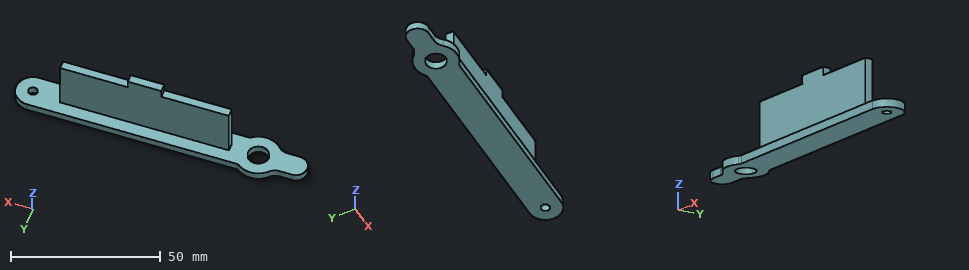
import cadquery as cq
import math

overall_length = 103.4
thickness = 3.0

ring_radius = 7.9
ring_hole_diameter = 7.2
nose_radius = 4.0
nose_reach = 17.4
bar_radius = 6.0
pin_hole_diameter = 3.1
nose_blend_radius = 4.7
bar_blend_radius = 2.0
nose_center_x = nose_radius - nose_reach
bar_end_x = overall_length - nose_reach - bar_radius

wall_start_x = 9.9
wall_length = 60.0
wall_height = 18.5
tab_length = 12.0
tab_offset = (wall_length - tab_length) / 2


def blend_points(half_width, radius):
    """Distances from the ring centre for a blend between the ring and a straight side.

    Returns the start on the straight side, the arc's midpoint and the end on the ring.
    """
    center_y = half_width + radius
    center_distance = ring_radius + radius
    center_x = math.sqrt(center_distance**2 - center_y**2)
    on_side = (center_x, half_width)
    on_ring = (
        center_x * ring_radius / center_distance,
        center_y * ring_radius / center_distance,
    )
    ring_direction = math.atan2(-center_y, -center_x)
    middle_angle = (ring_direction - math.pi / 2) / 2
    middle = (
        center_x + radius * math.cos(middle_angle),
        center_y + radius * math.sin(middle_angle),
    )
    return on_side, middle, on_ring


def mirror_x(point):
    return (-point[0], point[1])


def mirror_y(point):
    return (point[0], -point[1])


def make_plate():
    nose_side, nose_middle, nose_ring = map(mirror_x, blend_points(nose_radius, nose_blend_radius))
    bar_side, bar_middle, bar_ring = blend_points(bar_radius, bar_blend_radius)
    outline = (
        cq.Workplane("XY")
        .moveTo(nose_center_x, nose_radius)
        .lineTo(*nose_side)
        .threePointArc(nose_middle, nose_ring)
        .threePointArc((0, ring_radius), bar_ring)
        .threePointArc(bar_middle, bar_side)
        .lineTo(bar_end_x, bar_radius)
        .threePointArc((bar_end_x + bar_radius, 0), (bar_end_x, -bar_radius))
        .lineTo(*mirror_y(bar_side))
        .threePointArc(mirror_y(bar_middle), mirror_y(bar_ring))
        .threePointArc((0, -ring_radius), mirror_y(nose_ring))
        .threePointArc(mirror_y(nose_middle), mirror_y(nose_side))
        .lineTo(nose_center_x, -nose_radius)
        .threePointArc((-nose_reach, 0), (nose_center_x, nose_radius))
        .close()
    )
    ring_hole = cq.Workplane("XY").circle(ring_hole_diameter / 2).extrude(thickness)
    pin_hole = cq.Workplane("XY").center(bar_end_x, 0).circle(pin_hole_diameter / 2).extrude(thickness)
    return outline.extrude(thickness).cut(ring_hole).cut(pin_hole)


def make_upright(start_x, length, height):
    """Block centred on the plate's long axis, rising from its underside."""
    return (
        cq.Workplane("XY")
        .box(length, thickness, height, centered=(False, True, False))
        .translate((start_x, 0, 0))
    )


wall_top = thickness + wall_height
wall = make_upright(wall_start_x, wall_length, wall_top)
tab = make_upright(wall_start_x + tab_offset, tab_length, wall_top + thickness)
result = make_plate().union(wall).union(tab)